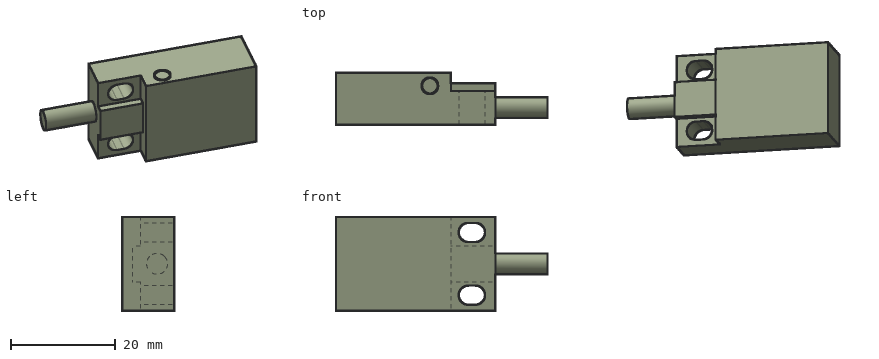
import cadquery as cq

total_length = 40.5
body_length = 30.5
body_depth = 10.0
body_height = 18.0
mid_height = body_height / 2

step_start = 22.0
mount_depth = 6.5
mount_length = body_length - step_start
rib_depth = 8.0
rib_width = 6.9

slot_length = 5.0
slot_width = 3.6
slot_center_x = 26.0
slot_spacing = 12.0

cable_diameter = 4.0
cable_center_y = 3.32

indicator_diameter = 3.2
indicator_x = 18.0
indicator_y = 7.5
groove_width = 0.12
groove_depth = 0.12


def make_housing():
    """Full-depth block joined to a thinner mounting end with a central rib."""
    block = cq.Workplane("XY").box(step_start, body_depth, body_height, centered=False)
    mount = (
        cq.Workplane("XY")
        .box(mount_length, mount_depth, body_height, centered=False)
        .translate((step_start, 0, 0))
    )
    rib = (
        cq.Workplane("XY")
        .box(mount_length, rib_depth, rib_width, centered=(False, False, True))
        .translate((step_start, 0, mid_height))
    )
    return block.union(mount).union(rib)


def make_slots():
    """Cutters for the two slots through the mounting end."""
    return (
        cq.Workplane("XZ")
        .center(slot_center_x, mid_height)
        .rarray(0.4, slot_spacing, 1, 2)
        .slot2D(slot_length, slot_width)
        .extrude(-body_depth)
    )


def make_cable():
    """Round cable leaving the end of the housing at mid height."""
    return (
        cq.Workplane("YZ", origin=(body_length, cable_center_y, mid_height))
        .circle(cable_diameter / 2)
        .extrude(total_length - body_length)
    )


def make_indicator_groove():
    """Ring cutter that outlines the indicator disc."""
    outer_radius = indicator_diameter / 2
    return (
        cq.Workplane("XY", origin=(indicator_x, indicator_y, body_height))
        .circle(outer_radius)
        .circle(outer_radius - groove_width)
        .extrude(-groove_depth)
    )


result = make_housing().cut(make_slots()).cut(make_indicator_groove()).union(make_cable())